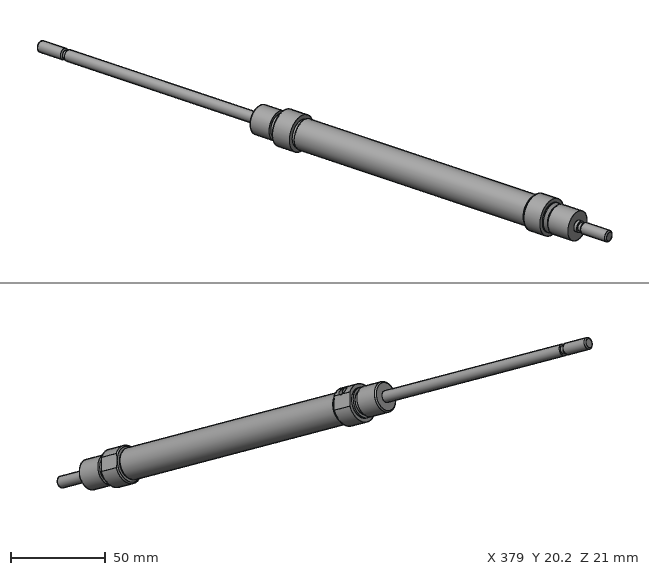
import cadquery as cq

total_length = 379.0
head_mirror_x = 251.5

rod_dia = 6.5
rod_relief_dia = 4.5
rod_relief_width = 2.0
rod_end_chamfer = 0.8
left_thread_length = 16.5
right_thread_length = 17.5

nose_start_x = 145.5
nose_length = 13.3
nose_to_flange = 3.8
flange_length = 11.5
nose_dia = 16.5
groove_dia = 13.5
shoulder_dia = 16.5
flange_dia = 21.0
neck_dia = 16.0
flat_y = 9.65

left_shoulder_width = 1.0
left_neck_width = 2.0
left_nose_chamfer = 0.8
right_shoulder_width = 2.3
right_neck_width = 1.0
right_shoulder_chamfer = 1.5
right_flange_chamfer = 0.8

port_x = 169.0
port_z = 6.0
port_dia = 4.5
port_bottom_y = 6.0

tube_dia = 17.5

flange_start_x = nose_start_x + nose_length + nose_to_flange
flange_end_x = flange_start_x + flange_length
tube_start_x = flange_end_x + left_neck_width
tube_end_x = 2 * head_mirror_x - flange_end_x - right_neck_width


def cylinder(start_x, length, dia):
    """Solid cylinder on the X axis."""
    return cq.Workplane("YZ", origin=(start_x, 0, 0)).circle(dia / 2).extrude(length)


def make_rod():
    """Rod in three lengths, joined by the thinner reliefs behind its two threads."""
    left_relief_x = left_thread_length
    shank_start_x = left_relief_x + rod_relief_width
    right_thread_x = total_length - right_thread_length
    right_relief_x = right_thread_x - rod_relief_width

    left_thread = cylinder(0, left_thread_length, rod_dia).faces("<X or >X").chamfer(rod_end_chamfer)
    left_relief = cylinder(left_relief_x, rod_relief_width, rod_relief_dia)
    shank = cylinder(shank_start_x, right_relief_x - shank_start_x, rod_dia)
    right_relief = cylinder(right_relief_x, rod_relief_width, rod_relief_dia)
    right_thread = cylinder(right_thread_x, right_thread_length, rod_dia)
    right_thread = right_thread.faces("<X or >X").chamfer(rod_end_chamfer)
    return left_thread.union(left_relief).union(shank).union(right_relief).union(right_thread)


def make_nose():
    return cylinder(nose_start_x, nose_length, nose_dia)


def make_shoulder(width):
    return cylinder(flange_start_x - width, width, shoulder_dia)


def make_flange():
    return cylinder(flange_start_x, flange_length, flange_dia)


def join_head(nose, shoulder, flange, neck_width):
    """Head at the left end: its parts with the groove, neck, flat and rod bore."""
    groove = cylinder(nose_start_x + nose_length, nose_to_flange, groove_dia)
    neck = cylinder(flange_end_x, neck_width, neck_dia)
    beyond_flat = (
        cq.Workplane("XY")
        .box(flange_length, flange_dia, flange_dia, centered=(False, False, True))
        .translate((flange_start_x, flat_y, 0))
    )
    rod_bore = cylinder(nose_start_x, flange_end_x + neck_width - nose_start_x, rod_dia)
    return nose.union(groove).union(shoulder).union(flange).union(neck).cut(beyond_flat).cut(rod_bore)


def make_left_head():
    nose = make_nose().faces("<X").chamfer(left_nose_chamfer)
    head = join_head(nose, make_shoulder(left_shoulder_width), make_flange(), left_neck_width)
    port = (
        cq.Workplane("XZ", origin=(port_x, flat_y, port_z))
        .circle(port_dia / 2)
        .extrude(flat_y - port_bottom_y)
    )
    return head.cut(port)


def make_right_head():
    """Built at the left end, then mirrored to the right."""
    shoulder = make_shoulder(right_shoulder_width).faces("<X").chamfer(right_shoulder_chamfer)
    flange = make_flange().faces(">X").chamfer(right_flange_chamfer)
    head = join_head(make_nose(), shoulder, flange, right_neck_width)
    return head.mirror("YZ", (head_mirror_x, 0, 0))


def make_tube():
    length = tube_end_x - tube_start_x
    return cylinder(tube_start_x, length, tube_dia).cut(cylinder(tube_start_x, length, rod_dia))


rod = make_rod()
left_head = make_left_head()
right_head = make_right_head()
tube = make_tube()

result = cq.Compound.makeCompound([rod.val(), left_head.val(), right_head.val(), tube.val()])